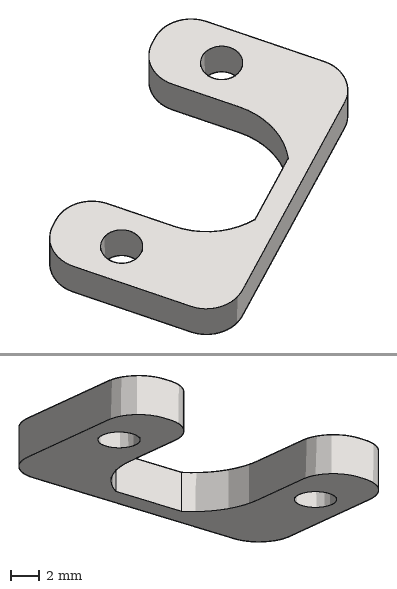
import cadquery as cq
import math

width = 14.7
length = 24.0
thickness = 3.0
corner_radius = 2.8

mouth_radius = 5.85
web_thickness = 1.7
web_face_length = 6.0

hole_diameter = 3.0
hole_from_end = 3.0
hole_from_tip = 5.25

tip_x = -width / 2
back_x = width / 2
web_x = back_x - web_thickness
half_length = length / 2
half_web_face = web_face_length / 2
mouth_center_x = web_x - math.sqrt(mouth_radius**2 - half_web_face**2)
arc_mid_angle = (math.pi / 2 + math.asin(half_web_face / mouth_radius)) / 2
arc_mid_x = mouth_center_x + mouth_radius * math.cos(arc_mid_angle)
arc_mid_y = mouth_radius * math.sin(arc_mid_angle)


def make_bracket():
    """C-shaped plate with every outer corner and arm-tip corner rounded."""
    outline = (
        cq.Workplane("XY")
        .moveTo(tip_x, half_length)
        .lineTo(back_x, half_length)
        .lineTo(back_x, -half_length)
        .lineTo(tip_x, -half_length)
        .lineTo(tip_x, -mouth_radius)
        .lineTo(mouth_center_x, -mouth_radius)
        .threePointArc((arc_mid_x, -arc_mid_y), (web_x, -half_web_face))
        .lineTo(web_x, half_web_face)
        .threePointArc((arc_mid_x, arc_mid_y), (mouth_center_x, mouth_radius))
        .lineTo(tip_x, mouth_radius)
        .close()
    )
    plate = outline.extrude(thickness)
    return plate.edges("|Z and (<X or >X)").fillet(corner_radius)


def drill_holes(body):
    """Through hole in each arm."""
    hole_x = tip_x + hole_from_tip
    hole_y = half_length - hole_from_end
    return (
        body.faces(">Z")
        .workplane(origin=(0, 0, thickness))
        .pushPoints([(hole_x, hole_y), (hole_x, -hole_y)])
        .hole(hole_diameter)
    )


result = drill_holes(make_bracket())